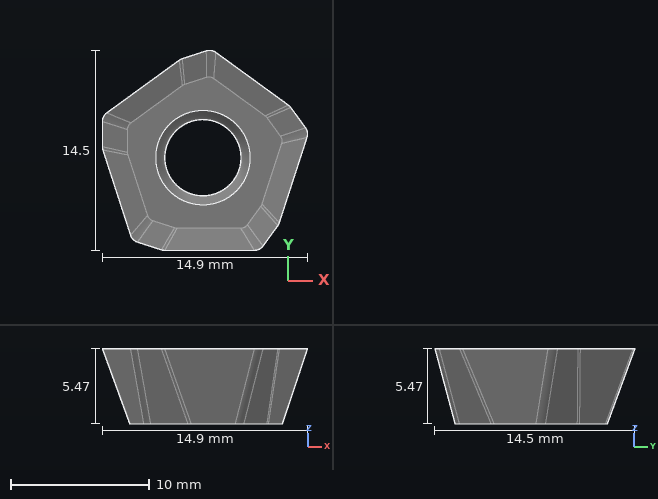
import cadquery as cq
import math

EDGE_COUNT = 5
PITCH = 360 / EDGE_COUNT
HEIGHT = 5.47

MAIN_DIRECTION = -90
WIPER_TURN = 54
RIM_MAIN = 6.72
RIM_WIPER = 7.28
CORNER_RADIUS = 0.77

MAIN_RELIEF = 15
WIPER_RELIEF = 20

LAND_MAIN = 1.62
LAND_WIPER = 1.83
FLOOR_DEPTH = 0.45
FLOOR_CORNER_RADIUS = 0.6

BORE_DIAMETER = 5.5
MOUTH_DIAMETER = 6.84
MOUTH_DEPTH = 0.45
SEAT_HEIGHT = 2.08


def outline(main_distance, wiper_distance, corner_radius, z):
    """Rounded ten-sided wire whose sides alternate between main edges and wipers."""
    sides = []
    for i in range(EDGE_COUNT):
        direction = MAIN_DIRECTION + i * PITCH
        sides.append((math.radians(direction), main_distance))
        sides.append((math.radians(direction + WIPER_TURN), wiper_distance))

    corners = []
    for i, (angle, distance) in enumerate(sides):
        next_angle, next_distance = sides[(i + 1) % len(sides)]
        inset = distance - corner_radius
        next_inset = next_distance - corner_radius
        turn = math.sin(next_angle - angle)
        center_x = (inset * math.sin(next_angle) - next_inset * math.sin(angle)) / turn
        center_y = (next_inset * math.cos(angle) - inset * math.cos(next_angle)) / turn
        middle_angle = angle + ((next_angle - angle) % (2 * math.pi)) / 2
        corners.append([
            cq.Vector(
                center_x + corner_radius * math.cos(a),
                center_y + corner_radius * math.sin(a),
                z,
            )
            for a in (angle, middle_angle, next_angle)
        ])

    edges = []
    for i, (start, middle, end) in enumerate(corners):
        previous_end = corners[i - 1][-1]
        edges.append(cq.Edge.makeLine(previous_end, start))
        edges.append(cq.Edge.makeThreePointArc(start, middle, end))
    return cq.Wire.assembleEdges(edges)


def tapered_body():
    base = outline(
        RIM_MAIN - HEIGHT * math.tan(math.radians(MAIN_RELIEF)),
        RIM_WIPER - HEIGHT * math.tan(math.radians(WIPER_RELIEF)),
        CORNER_RADIUS,
        0,
    )
    rim = outline(RIM_MAIN, RIM_WIPER, CORNER_RADIUS, HEIGHT)
    return cq.Workplane(cq.Solid.makeLoft([base, rim], True))


def sunken_floor():
    floor = outline(
        RIM_MAIN - LAND_MAIN,
        RIM_WIPER - LAND_WIPER,
        FLOOR_CORNER_RADIUS,
        HEIGHT - FLOOR_DEPTH,
    )
    rim = outline(RIM_MAIN, RIM_WIPER, CORNER_RADIUS, HEIGHT)
    return cq.Workplane(cq.Solid.makeLoft([floor, rim], True))


def screw_hole():
    bore_radius = BORE_DIAMETER / 2
    mouth_radius = MOUTH_DIAMETER / 2
    seat_top = HEIGHT - FLOOR_DEPTH - MOUTH_DEPTH
    seat_bottom = seat_top - SEAT_HEIGHT
    return (
        cq.Workplane("XZ")
        .lineTo(bore_radius, 0)
        .lineTo(bore_radius, seat_bottom)
        .tangentArcPoint((mouth_radius, seat_top), relative=False)
        .lineTo(mouth_radius, HEIGHT)
        .lineTo(0, HEIGHT)
        .close()
        .revolve(360, (0, 0, 0), (0, 1, 0))
    )


result = tapered_body().cut(sunken_floor()).cut(screw_hole())